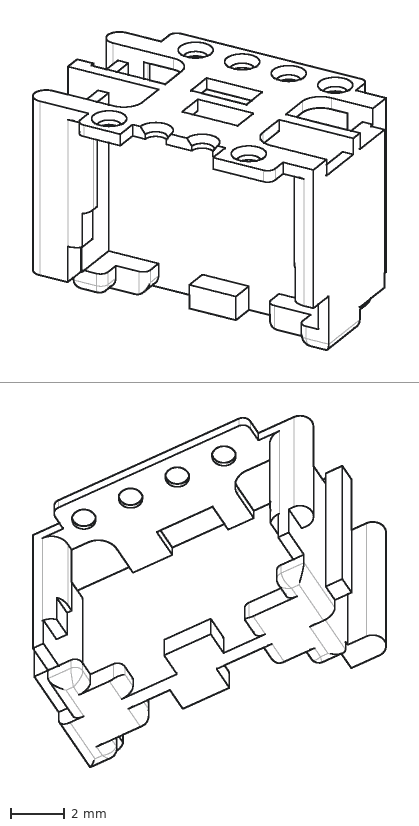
import cadquery as cq

LENGTH = 12.3
HEIGHT = 8.3
PLATE_WIDTH = 8.5
PLATE_THICKNESS = 0.48

HOUSING_SHIFT = 0.3
HOUSING_HALF = 5.5
END_WALL = 0.45
CENTRE_WALL_HALF = 0.26
END_WALL_DROP = 0.68
END_WALL_REACH = 2.14

POST_INNER_Y = 2.3
POST_OUTER_Y = 3.31
POST_BOTTOM = 2.5
POST_STEP = 3.9
NOSE_START = 5.09
NOSE_RADIUS = 0.7
NOSE_STEP_X = 4.59

FOOT_HEIGHT = 1.0
FOOT_ROUND = 0.49
CORNER_RADIUS = 0.32
LEG_INNER = 4.2
FLANGE_REACH = 1.2
CENTRE_FOOT_LENGTH = 2.0
CENTRE_FOOT_REACH = 1.25

TAB_HALF = LEG_INNER
OPENING_HALF = 2.6
OPENING_RADIUS = 0.8
SLOT_LENGTH = 2.4
SLOT_REACH = 1.46
NOTCH_LENGTH = 4.0

HOLE_PITCH = 2.0
HOLES_PER_ROW = 4
HOLE_ROW_Y = POST_OUTER_Y
HOLE_DIAMETER = 0.9
SINK_DIAMETER = 1.32
SINK_DEPTH = 0.28

END_TAB_REAR_Y = 0.45

RIGHT_END = HOUSING_SHIFT + HOUSING_HALF
LEFT_END = RIGHT_END - LENGTH
END_WALL_TOP = HEIGHT - END_WALL_DROP
REAR_LEFT = -HOUSING_SHIFT - HOUSING_HALF
REAR_RIGHT = -HOUSING_SHIFT + HOUSING_HALF
PLATE_BOTTOM = HEIGHT - PLATE_THICKNESS
MARGIN = 0.01

FRONT, REAR = -1, 1
LEFT, RIGHT = -1, 1


def block(x1, x2, y1, y2, z1, z2):
    """Box between two corners, given in any order."""
    low = (min(x1, x2), min(y1, y2), min(z1, z2))
    return cq.Workplane("XY").box(abs(x2 - x1), abs(y2 - y1), abs(z2 - z1), centered=False).translate(low)


def housing_centre(side):
    return -side * HOUSING_SHIFT


def free_faces(side):
    """Selector of the faces turned away from the central wall."""
    return ">Y" if side == REAR else "<Y"


def inner_end(end):
    """Selector of what lies nearest the middle of the part along X."""
    return "<X" if end == RIGHT else ">X"


def round_inner_corner(body, side, end, radius):
    """Round the vertical edge on the free side, at the end nearest the middle."""
    return body.faces(free_faces(side)).edges(inner_end(end)).fillet(radius)


def round_bottom_ends(body):
    """Round the two lower edges that run along Y."""
    return body.edges("|Y and <Z").fillet(FOOT_ROUND)


def leg(side, end):
    """Corner leg: rounded below on both ends and its free side, with a rounded inner corner."""
    centre = housing_centre(side)
    outer = centre + end * HOUSING_HALF
    inner = centre + end * LEG_INNER
    body = block(outer, inner, 0, side * END_WALL_REACH, 0, FOOT_HEIGHT)
    body = body.edges("<Z").edges(f"|Y or {free_faces(side)}").fillet(FOOT_ROUND)
    corner = cq.selectors.BoxSelector(
        (inner - end * MARGIN, side * (END_WALL_REACH + MARGIN), -MARGIN),
        (inner + end * FOOT_ROUND, side * (END_WALL_REACH - FOOT_ROUND), FOOT_HEIGHT),
    )
    return body.edges(corner).fillet(CORNER_RADIUS)


def flange(side, end):
    """Foot running along the central wall from the housing end to the middle bridge."""
    outer = housing_centre(side) + end * HOUSING_HALF
    span = (outer, end * OPENING_HALF, 0, side * FLANGE_REACH, 0, FOOT_HEIGHT)
    corner_rounded = round_inner_corner(block(*span), side, end, CORNER_RADIUS)
    return round_bottom_ends(block(*span)).intersect(corner_rounded)


def centre_foot(side):
    """Plain foot at the middle of a housing."""
    centre = housing_centre(side)
    half = CENTRE_FOOT_LENGTH / 2
    return block(centre - half, centre + half, 0, side * CENTRE_FOOT_REACH, 0, FOOT_HEIGHT)


def end_wall(side, end):
    """End wall above the feet; the rear walls also carry on down below their short posts."""
    centre = housing_centre(side)
    outer = centre + end * HOUSING_HALF
    inner = outer - end * END_WALL
    if side == REAR:
        lower_reach = POST_OUTER_Y
    elif end == LEFT:
        lower_reach = POST_INNER_Y
    else:
        lower_reach = END_WALL_REACH
    lower = block(outer, inner, 0, side * lower_reach, FOOT_HEIGHT, POST_BOTTOM)
    upper = block(outer, inner, 0, side * POST_INNER_Y, POST_BOTTOM, END_WALL_TOP)
    return lower.union(upper)


def post(side, end):
    """Corner post with a nose into the housing.

    Left posts have a half-round outer end, and the front left post runs down to the feet.
    """
    centre = housing_centre(side)
    outer = LEFT_END if end == LEFT else centre + HOUSING_HALF
    nose_start = centre + end * NOSE_START
    nose_tip = nose_start - end * NOSE_RADIUS
    nose_step = centre + end * NOSE_STEP_X
    inner_y, outer_y = side * POST_INNER_Y, side * POST_OUTER_Y

    body = block(outer, nose_tip, inner_y, outer_y, POST_BOTTOM, HEIGHT)
    body = round_inner_corner(body, side, end, NOSE_RADIUS)
    body = body.cut(block(nose_step, nose_tip, inner_y, outer_y, POST_BOTTOM, POST_STEP))
    if (side, end) == (FRONT, LEFT):
        body = body.union(block(outer, nose_start, inner_y, outer_y, FOOT_HEIGHT, POST_BOTTOM))
    if end == LEFT:
        width = POST_OUTER_Y - POST_INNER_Y
        middle_y = (inner_y + outer_y) / 2
        envelope = (
            cq.Workplane("XY")
            .center(outer + LENGTH / 2, middle_y)
            .slot2D(LENGTH, width)
            .extrude(HEIGHT)
        )
        body = body.intersect(envelope)
    return body


def central_wall():
    """Wall shared by both housings, its thickened left end and the thick rear right end wall."""
    half = CENTRE_WALL_HALF
    wall = round_bottom_ends(block(REAR_LEFT, RIGHT_END, -half, half, 0, HEIGHT))
    left_end = block(LEFT_END, REAR_LEFT, -half, END_TAB_REAR_Y, FOOT_HEIGHT, HEIGHT)
    right_end = block(
        REAR_RIGHT - END_WALL, RIGHT_END, 0, END_WALL_REACH, FOOT_HEIGHT, END_WALL_TOP
    )
    return wall.union(left_end).union(right_end)


def plate():
    """Top plate: bridge, side arms over the posts and outer tabs, with its cut-outs."""
    z1, z2 = PLATE_BOTTOM, HEIGHT
    body = cq.Workplane("XY")
    for side in (FRONT, REAR):
        centre = housing_centre(side)
        tab = block(centre - TAB_HALF, centre + TAB_HALF, 0, side * PLATE_WIDTH / 2, z1, z2)
        tab = tab.faces(free_faces(side)).edges("|Z").fillet(CORNER_RADIUS)
        arms = block(
            centre - NOSE_START, centre + NOSE_START, 0, side * POST_OUTER_Y, z1, z2
        )
        body = body.union(tab).union(arms)

    for side in (FRONT, REAR):
        for end in (LEFT, RIGHT):
            opening = block(
                end * OPENING_HALF, end * LENGTH, side * CENTRE_WALL_HALF, side * POST_INNER_Y, z1, z2
            )
            body = body.cut(round_inner_corner(opening, side, end, OPENING_RADIUS))
        centre = housing_centre(side)
        half = SLOT_LENGTH / 2
        body = body.cut(
            block(centre - half, centre + half, side * CENTRE_WALL_HALF, side * SLOT_REACH, z1, z2)
        )

    notch = block(-NOTCH_LENGTH / 2, NOTCH_LENGTH / 2, -POST_OUTER_Y, -PLATE_WIDTH, z1, z2)
    return body.cut(notch)


def drill_holes(body):
    """Two rows of four countersunk holes; the middle front pair is open to the notch."""
    drill = cq.Workplane("XY").circle(HOLE_DIAMETER / 2).extrude(-PLATE_THICKNESS)
    sink = cq.Workplane("XY").add(
        cq.Solid.makeCone(
            SINK_DIAMETER / 2, HOLE_DIAMETER / 2, SINK_DEPTH, dir=cq.Vector(0, 0, -1)
        )
    )
    tool = drill.union(sink)
    for side in (FRONT, REAR):
        for column in range(HOLES_PER_ROW):
            x = (column - (HOLES_PER_ROW - 1) / 2) * HOLE_PITCH
            body = body.cut(tool.translate((x, side * HOLE_ROW_Y, HEIGHT)))
    return body


part = plate().union(central_wall())
for side in (FRONT, REAR):
    part = part.union(centre_foot(side))
    for end in (LEFT, RIGHT):
        for feature in (post, end_wall, leg, flange):
            part = part.union(feature(side, end))

result = drill_holes(part)